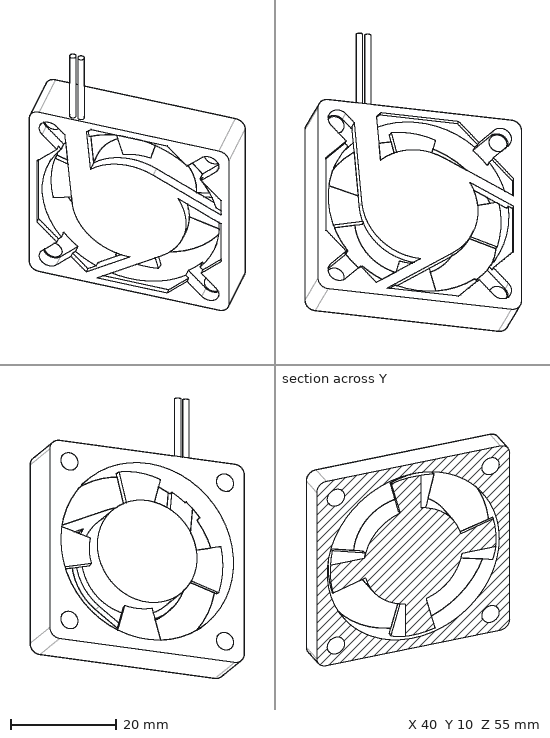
import cadquery as cq
import math


FRAME_SIZE = 40.0
FRAME_DEPTH = 10.0
CORNER_RADIUS = 2.0
BORE_RADIUS = 17.75

RECESS_SIDES = 8
RECESS_ACROSS_FLATS = 36.9
RECESS_DEPTH = 1.0

HOLE_PITCH = 32.0
HOLE_DIAMETER = 3.5
CORNER_ANGLES = (45, 135, 225, 315)
SLOT_WIDTH = 4.0
SLOT_DEPTH = 2.5

PLATE_RADIUS = 11.45
PLATE_THICKNESS = 2.0
ARM_TANGENT_ANGLES = (65.0, 185.0, 305.0)
ARM_WIDTHS = (2.0, 4.5, 2.0)

ROTOR_RADIUS = 10.25
BLADE_COUNT = 4
BLADE_TIP_RADIUS = 17.2
BLADE_ROOT_EMBED = 1.0
BLADE_ROOT_RADIUS = ROTOR_RADIUS - BLADE_ROOT_EMBED
BLADE_SPAN_ANGLE = 30.5
BLADE_THICKNESS = 1.15
BLADE_TILT = 7.0
BLADE_FRONT = 4.8

WIRE_DIAMETER = 1.25
WIRE_LENGTH = 15.0
WIRE_POSITIONS_X = (-11.6, -9.95)
WIRE_SETBACK = 1.05
WIRE_EMBED = 0.5

HALF_SIZE = FRAME_SIZE / 2


def plane_at(depth):
    """Sketch plane facing the front, a given depth behind the front face."""
    return cq.Workplane("XZ", origin=(0, depth, 0))


def prism(sketch, length):
    """Extrude a sketch backwards, along +Y."""
    return sketch.extrude(-length)


def polar(radius, angle):
    """Point in the front plane; the angle is in degrees from +X towards +Z."""
    return (radius * math.cos(math.radians(angle)), radius * math.sin(math.radians(angle)))


def about_fan_axis(body, angle):
    """Turn a body about the fan axis, from +X towards +Z."""
    return body.rotate((0, 0, 0), (0, -1, 0), angle)


def make_frame():
    """Square frame with rounded corners, the air bore and the mounting holes."""
    block = prism(plane_at(0).rect(FRAME_SIZE, FRAME_SIZE), FRAME_DEPTH)
    block = block.edges("|Y").fillet(CORNER_RADIUS)
    bore = prism(plane_at(0).circle(BORE_RADIUS), FRAME_DEPTH)
    hole_centers = plane_at(0).rect(HOLE_PITCH, HOLE_PITCH, forConstruction=True).vertices()
    holes = prism(hole_centers.circle(HOLE_DIAMETER / 2), FRAME_DEPTH)
    return block.cut(bore).cut(holes)


def make_front_recesses():
    """Octagonal recess and the four corner slots, before the arms are kept out of them."""
    across_corners = RECESS_ACROSS_FLATS / math.cos(math.pi / RECESS_SIDES)
    octagon = prism(plane_at(0).polygon(RECESS_SIDES, across_corners), RECESS_DEPTH)
    recess = about_fan_axis(octagon, 180 / RECESS_SIDES)
    hole_distance = HOLE_PITCH / math.sqrt(2)
    slot_sketch = plane_at(0).center(hole_distance / 2, 0).slot2D(hole_distance + SLOT_WIDTH, SLOT_WIDTH)
    slot = prism(slot_sketch, SLOT_DEPTH)
    for angle in CORNER_ANGLES:
        recess = recess.union(about_fan_axis(slot, angle))
    return recess


def make_motor_plate():
    """Motor plate with its arms, which run on into the frame walls."""
    plate = prism(plane_at(0).circle(PLATE_RADIUS), PLATE_THICKNESS)
    for angle, width in zip(ARM_TANGENT_ANGLES, ARM_WIDTHS):
        arm_sketch = plane_at(0).center(PLATE_RADIUS - width / 2, -HALF_SIZE / 2).rect(width, HALF_SIZE)
        plate = plate.union(about_fan_axis(prism(arm_sketch, PLATE_THICKNESS), angle))
    return plate


def make_blade():
    """Flat blade along +X, tilted about its own radial axis."""
    half_span = BLADE_SPAN_ANGLE / 2
    sketch = (
        plane_at(BLADE_FRONT)
        .moveTo(*polar(BLADE_ROOT_RADIUS, -half_span))
        .lineTo(*polar(BLADE_TIP_RADIUS, -half_span))
        .threePointArc((BLADE_TIP_RADIUS, 0), polar(BLADE_TIP_RADIUS, half_span))
        .lineTo(*polar(BLADE_ROOT_RADIUS, half_span))
        .close()
    )
    blade = prism(sketch, BLADE_THICKNESS)
    return blade.rotate((0, BLADE_FRONT, 0), (1, BLADE_FRONT, 0), BLADE_TILT)


def make_rotor():
    """Rotor drum behind the motor plate, with its ring of blades."""
    rotor = prism(plane_at(PLATE_THICKNESS).circle(ROTOR_RADIUS), FRAME_DEPTH - PLATE_THICKNESS)
    blade = make_blade()
    for index in range(BLADE_COUNT):
        rotor = rotor.union(about_fan_axis(blade, index * 360 / BLADE_COUNT))
    return rotor


def make_wires():
    """Two lead wires standing on the top wall, their ends sunk into it."""
    positions = [(x, WIRE_SETBACK) for x in WIRE_POSITIONS_X]
    base = cq.Workplane("XY", origin=(0, 0, HALF_SIZE - WIRE_EMBED))
    return base.pushPoints(positions).circle(WIRE_DIAMETER / 2).extrude(WIRE_LENGTH + WIRE_EMBED)


motor_plate = make_motor_plate()
frame = make_frame().cut(make_front_recesses().cut(motor_plate))
envelope = prism(plane_at(0).rect(FRAME_SIZE, FRAME_SIZE), FRAME_DEPTH)
trimmed_plate = motor_plate.intersect(envelope)
result = frame.union(trimmed_plate).union(make_rotor()).union(make_wires())